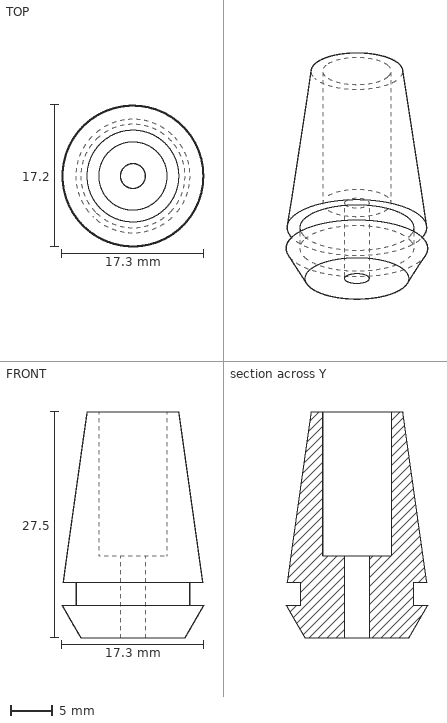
import cadquery as cq
import math

total_height = 27.5

nose_height = 4.0
rim_diameter = 17.25
nose_half_angle = 30.0

groove_width = 2.75
groove_diameter = 13.85

taper_base_diameter = 17.0
taper_half_angle = 8.0

hole_diameter = 3.0
bore_diameter = 8.3
hole_length = 10.0

rim_radius = rim_diameter / 2
groove_radius = groove_diameter / 2
taper_base_radius = taper_base_diameter / 2
taper_base_z = nose_height + groove_width
taper_height = total_height - taper_base_z

nose_radius = rim_radius - nose_height * math.tan(math.radians(nose_half_angle))
taper_top_radius = taper_base_radius - taper_height * math.tan(math.radians(taper_half_angle))


def make_body():
    """Solid of revolution with the nose, groove and main taper."""
    profile = [
        (0, 0),
        (nose_radius, 0),
        (rim_radius, nose_height),
        (groove_radius, nose_height),
        (groove_radius, taper_base_z),
        (taper_base_radius, taper_base_z),
        (taper_top_radius, total_height),
        (0, total_height),
    ]
    return cq.Workplane("XZ").polyline(profile).close().revolve(360, (0, 0), (0, 1))


def make_stepped_bore():
    """Small through hole opening into the relief bore."""
    hole = cq.Workplane("XY").circle(hole_diameter / 2).extrude(total_height)
    bore = (
        cq.Workplane("XY")
        .workplane(offset=hole_length)
        .circle(bore_diameter / 2)
        .extrude(total_height - hole_length)
    )
    return hole.union(bore)


result = make_body().cut(make_stepped_bore())